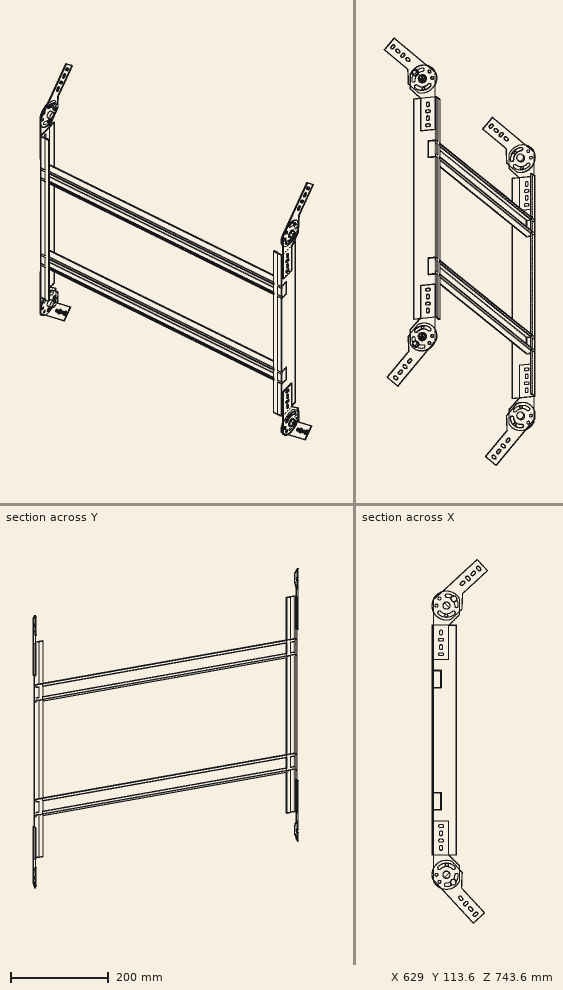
import cadquery as cq
import math


ladder_width = 601.0
rail_length = 470.0
rail_depth = 50.0
flange_width = 21.0
rail_wall = 1.5
rail_bend_radius = 3.0
hem_width = 9.0
rail_x = ladder_width / 2

rung_spacing = 250.0
rung_height = 36.5
rung_depth = 18.0
rung_front_y = rail_wall
rung_lip = 7.0
rung_wall = 1.5
rung_bend_radius = 1.5

plate_thickness = 2.0
plate_length = 110.0
head_radius = 30.0
head_half_width = 27.0
strip_width = 31.0
shoulder_start = 18.5

ring_radius = 20.45
ring_hole_diameter = 6.0
lock_hole_angle = 225
index_hole_angles = (90, 135)
arc_slot_width = 7.0
arc_slot_half_angle = 45

strip_slot_count = 4
strip_slot_first = 55.0
strip_slot_pitch = 15.0
strip_slot_length = 10.0
strip_slot_width = 5.7

pivot_y = 30.0
pivot_height = 275
upper_arm_tilt = 47.3
lower_arm_tilt = 42.7

screw_diameter = 8.0
screw_end_x = 314.5
screw_end_chamfer = 1.5
pivot_nut_flats = 13.0
pivot_nut_outer_x = 310.0
washer_diameter = 17.0
washer_thickness = 1.5
pivot_head_diameter = 15.0
pivot_head_height = 7.0

lock_head_diameter = 13.0
lock_head_height = 7.5
lock_head_chamfer = 2.0
lock_nut_flats = 11.0
lock_nut_height = 4.0

plate_outer_x = rail_x + plate_thickness
arm_inner_x = rail_x - plate_thickness


def side_rail():
    """Rail of the +X side: a web along Y and a front flange folded inward, its tip hemmed double."""
    inner_x = rail_x - rail_wall
    tip_x = rail_x - flange_width
    hem_x = tip_x + hem_width
    section = (
        cq.Workplane("XY")
        .moveTo(rail_x, rail_depth)
        .lineTo(rail_x, 0)
        .lineTo(tip_x, 0)
        .lineTo(tip_x, 2 * rail_wall)
        .lineTo(hem_x, 2 * rail_wall)
        .lineTo(hem_x, rail_wall)
        .lineTo(inner_x, rail_wall)
        .lineTo(inner_x, rail_depth)
        .close()
        .extrude(rail_length / 2, both=True)
    )
    return section.edges(cq.selectors.NearestToPointSelector((rail_x, 0, 0))).fillet(rail_bend_radius)


def rung(center_z):
    """C channel between the two webs, with its lips at the front."""
    length = ladder_width - 2 * rail_wall
    middle_y = rung_front_y + rung_depth / 2
    channel = (
        cq.Workplane("XY")
        .box(length, rung_depth, rung_height)
        .edges("|X")
        .fillet(rung_bend_radius)
    )
    hollow = cq.Workplane("XY").box(length, rung_depth - 2 * rung_wall, rung_height - 2 * rung_wall)
    mouth = (
        cq.Workplane("XY")
        .box(length, rung_depth / 2, rung_height - 2 * rung_lip)
        .translate((0, -rung_depth / 2, 0))
    )
    return channel.cut(hollow).cut(mouth).translate((0, middle_y, center_z))


def build_ladder():
    rail = side_rail()
    ladder = rail.union(rail.mirror("YZ"))
    for center_z in (-rung_spacing / 2, rung_spacing / 2):
        ladder = ladder.union(rung(center_z))
    return ladder


def ring_point(angle):
    """Point on the hole ring, its angle measured from +Z toward +Y."""
    turn = math.radians(angle)
    return (ring_radius * math.sin(turn), ring_radius * math.cos(turn))


def arc_slot():
    """Slot along the hole ring, centred on the strip direction."""
    slot_ring = (
        cq.Workplane("YZ")
        .circle(ring_radius + arc_slot_width / 2)
        .circle(ring_radius - arc_slot_width / 2)
        .extrude(plate_thickness)
    )
    wedge_half_width = head_radius * math.tan(math.radians(arc_slot_half_angle))
    wedge = (
        cq.Workplane("YZ")
        .polyline([(0, 0), (-wedge_half_width, head_radius), (wedge_half_width, head_radius)])
        .close()
        .extrude(plate_thickness)
    )
    ends = (
        cq.Workplane("YZ")
        .pushPoints([ring_point(-arc_slot_half_angle), ring_point(arc_slot_half_angle)])
        .circle(arc_slot_width / 2)
        .extrude(plate_thickness)
    )
    return slot_ring.intersect(wedge).union(ends)


def connector_plate(ring_hole_angles):
    """Plate with its pivot at the origin, its strip along +Z and its straight long edge on +Y."""
    strip_inner = head_half_width - strip_width
    shoulder_rise = strip_inner + head_half_width
    strip = (
        cq.Workplane("YZ")
        .polyline([
            (-head_half_width, 0),
            (-head_half_width, shoulder_start),
            (strip_inner, shoulder_start + shoulder_rise),
            (strip_inner, plate_length),
            (head_half_width, plate_length),
            (head_half_width, 0),
        ])
        .close()
        .extrude(plate_thickness)
    )
    flat_sides = (
        cq.Workplane("YZ")
        .rect(2 * head_half_width, 2 * head_radius)
        .extrude(plate_thickness)
    )
    head = cq.Workplane("YZ").circle(head_radius).extrude(plate_thickness).intersect(flat_sides)
    holes = (
        cq.Workplane("YZ")
        .pushPoints([ring_point(angle) for angle in ring_hole_angles])
        .circle(ring_hole_diameter / 2)
        .extrude(plate_thickness)
    )
    plate = head.union(strip).cut(holes).cut(arc_slot())

    slot_y = head_half_width - strip_width / 2
    for i in range(strip_slot_count):
        slot_turn = 90 if i % 2 == 0 else 0
        slot = (
            cq.Workplane("YZ")
            .center(slot_y, strip_slot_first + i * strip_slot_pitch)
            .slot2D(strip_slot_length, strip_slot_width, slot_turn)
            .extrude(plate_thickness)
        )
        plate = plate.cut(slot)
    return plate


def disc(diameter, start_x, end_x):
    """Round bar along X about the X axis."""
    return cq.Workplane("YZ").workplane(offset=start_x).circle(diameter / 2).extrude(end_x - start_x)


def hexagon(flats, start_x, end_x):
    """Hexagonal bar along X about the X axis, sized across its flats."""
    corners = flats / math.cos(math.pi / 6)
    return cq.Workplane("YZ").workplane(offset=start_x).polygon(6, corners).extrude(end_x - start_x)


def pivot_screw():
    """Screw with its head inside, and its washer, nut and bare end outside."""
    washer_x = plate_outer_x + washer_thickness
    return (
        disc(screw_diameter, arm_inner_x, screw_end_x)
        .faces(">X")
        .chamfer(screw_end_chamfer)
        .union(disc(pivot_head_diameter, arm_inner_x - pivot_head_height, arm_inner_x))
        .union(disc(washer_diameter, plate_outer_x, washer_x))
        .union(hexagon(pivot_nut_flats, washer_x, pivot_nut_outer_x))
    )


def lock_screw():
    """Screw with its round head outside and its nut inside."""
    head = disc(lock_head_diameter, plate_outer_x, plate_outer_x + lock_head_height)
    return (
        disc(ring_hole_diameter, arm_inner_x, plate_outer_x)
        .union(head.faces(">X").chamfer(lock_head_chamfer))
        .union(hexagon(lock_nut_flats, arm_inner_x - lock_nut_height, arm_inner_x))
    )


def build_connector(arm_tilt, has_lock):
    """Connector of the +X, +Z corner: a plate on the rail's outer face and an arm leaning back."""
    x_axis = ((0, 0, 0), (1, 0, 0))
    rail_plate = connector_plate((lock_hole_angle, *index_hole_angles)).rotate(*x_axis, 180)
    arm = connector_plate((lock_hole_angle,)).mirror("XZ").rotate(*x_axis, -arm_tilt)
    rail_plate = rail_plate.translate((rail_x, 0, 0))
    arm = arm.translate((arm_inner_x, 0, 0))
    connector = rail_plate.union(arm).union(pivot_screw())
    if has_lock:
        tilt = math.radians(arm_tilt)
        lock_place = (0, ring_radius * math.sin(tilt), ring_radius * math.cos(tilt))
        connector = connector.union(lock_screw().translate(lock_place))
    return connector.translate((0, pivot_y, pivot_height))


def build_connectors():
    connectors = []
    for has_lock in (False, True):
        upper = build_connector(upper_arm_tilt, has_lock)
        lower = build_connector(lower_arm_tilt, has_lock).mirror("XY")
        for connector in (upper, lower):
            if has_lock:
                connector = connector.mirror("YZ")
            connectors.append(connector)
    return connectors


ladder = build_ladder()
connectors = build_connectors()

result = cq.Compound.makeCompound([body.solids().val() for body in (ladder, *connectors)])